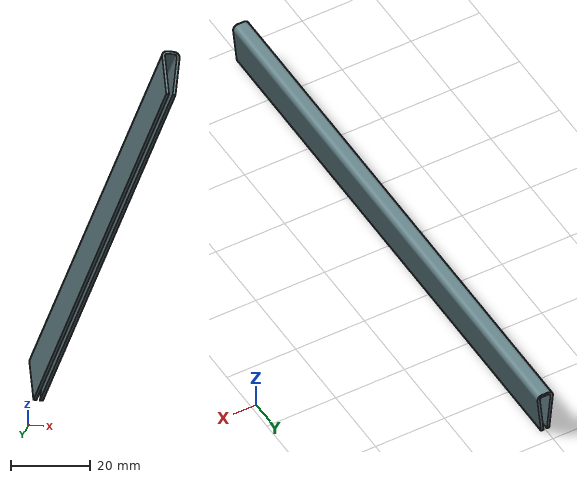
import cadquery as cq
import math

length = 152.4
width = 4.5
height = 12.6
wall = 0.8
shoulder_radius = 1.5
foot_width = 2.5

center_x = width / 2 - shoulder_radius
center_z = height - shoulder_radius

foot_offset = foot_width / 2 - center_x
foot_distance = math.hypot(foot_offset, center_z)
foot_direction = math.atan2(center_z, foot_offset)
lean = foot_direction - math.acos(shoulder_radius / foot_distance)


def shoulder_point(radius, angle):
    """Point on the right-hand shoulder, angle measured up from +X."""
    return (center_x + radius * math.cos(angle), center_z + radius * math.sin(angle))


def mirrored(point):
    """Reflect a section point across the middle plane of the strip."""
    return (-point[0], point[1])


def arch(foot_x, radius):
    """Solid arch with leaning sides, open feet at Z = 0 and rounded shoulders."""
    foot = (foot_x, 0)
    leg_end = shoulder_point(radius, -lean)
    arc_middle = shoulder_point(radius, (math.pi / 2 - lean) / 2)
    top_end = shoulder_point(radius, math.pi / 2)
    return (
        cq.Workplane("XZ", origin=(0, length / 2, 0))
        .moveTo(*foot)
        .lineTo(*leg_end)
        .threePointArc(arc_middle, top_end)
        .lineTo(*mirrored(top_end))
        .threePointArc(mirrored(arc_middle), mirrored(leg_end))
        .lineTo(*mirrored(foot))
        .close()
        .extrude(length)
    )


outer_foot_x = foot_width / 2
inner_foot_x = outer_foot_x - wall / math.cos(lean)

outer = arch(outer_foot_x, shoulder_radius)
cavity = arch(inner_foot_x, shoulder_radius - wall)
result = outer.cut(cavity)